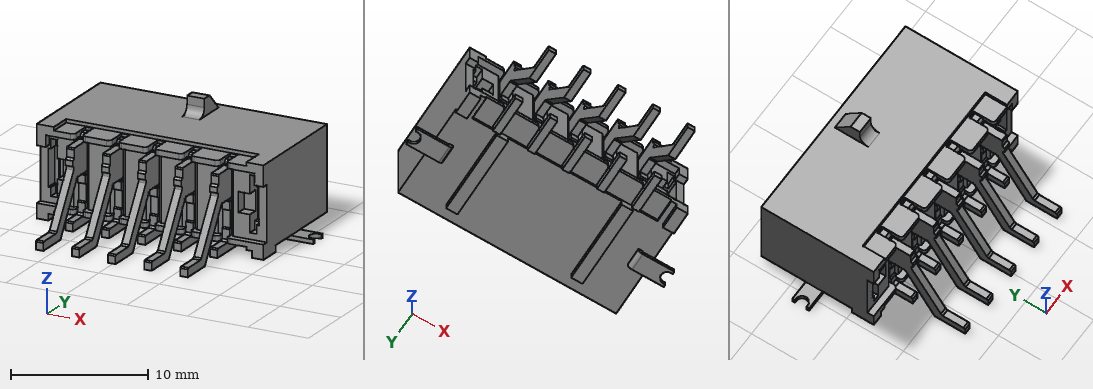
import cadquery as cq
import math


body_width = 18.75
body_depth = 9.92
body_top = 7.35
body_bottom = 0.53
half_width = body_width / 2

panel_y = 0.55
lower_lip_top = 1.2
upper_lip_bottom = 6.6
corner_lip_width = 0.75
corner_lip_bottom = 5.68

step_half_width = 7.95
step_depth = 1.92
upper_lip_top = 7.07
lower_lip_bottom = 0.77

corner_foot_width = 0.95
rail_inner_x = 4.88
rail_width = 0.97
rail_back_y = 8.93

pin_count = 5
pin_pitch = 2.98
pin_width = 0.62
pin_bottom = 0.05
foot_top = 0.75
foot_chamfer_length = 0.15
foot_chamfer_height = 0.09
slot_end_y = 1.8
slot_mouth_radius = 0.3
groove_depth = 0.3

latch_width = 1.44
latch_height = 1.4
latch_back_y = 9.3
latch_crest_back_y = 7.91
latch_crest_front_y = 7.1
latch_curve_radius = 0.73

tab_tip_x = 11.05
tab_y = 5.3
tab_width = 1.48
tab_thickness = 0.35
tab_inner_x = 7.95
tab_bend_radius = 0.35
tab_notch_radius = 0.5
tab_notch_depth = 0.69

tab_slot_inner_x = 7.95
narrow_slot = dict(outer_x=8.5, bottom=1.7, top=6.19, depth=0.77)
wide_slot = dict(outer_x=8.7, bottom=2.39, top=5.4, depth=1.0)
deep_slot = dict(outer_x=8.38, bottom=2.39, top=5.4, depth=1.22)
window_inner_x = 7.0
window_bottom = 3.12
window_top = 4.73
window_depth = 0.88


def box_between(x0, x1, y0, y1, z0, z1):
    """Box spanning the given limits on each axis."""
    return cq.Workplane("XY").box(x1 - x0, y1 - y0, z1 - z0, centered=False).translate((x0, y0, z0))


def extrude_across(profile, width, x=0.0):
    """Extrude a closed YZ profile along X by the given width, centred on x."""
    return profile.extrude(width / 2, both=True).translate((x, 0, 0))


def with_mirror(shape):
    """The shape together with its mirror image across the YZ plane."""
    return shape.union(shape.mirror("YZ"))


def make_housing():
    housing = box_between(-half_width, half_width, 0, body_depth, body_bottom, body_top)

    recess_half_width = half_width - corner_lip_width
    housing = housing.cut(
        box_between(-recess_half_width, recess_half_width, 0, panel_y, lower_lip_top, upper_lip_bottom)
    )
    housing = housing.cut(
        box_between(-half_width, half_width, 0, panel_y, lower_lip_top, corner_lip_bottom)
    )

    for bottom, top in ((upper_lip_top, body_top), (body_bottom, lower_lip_bottom)):
        housing = housing.cut(
            box_between(-step_half_width, step_half_width, 0, step_depth, bottom, top)
        )
    return housing


def make_standoffs():
    corner_foot = box_between(half_width - corner_foot_width, half_width, 0, step_depth, 0, body_bottom)
    rail = box_between(
        rail_inner_x, rail_inner_x + rail_width, step_depth, rail_back_y, 0, lower_lip_bottom
    )
    return with_mirror(corner_foot.union(rail))


def lip_slot(x, bottom, top):
    """Slot through a lip for one contact, with a rounded mouth at the front."""
    half_slot = pin_width / 2
    mouth = half_slot + slot_mouth_radius
    mid_x = mouth - slot_mouth_radius * math.sin(math.radians(45))
    mid_y = slot_mouth_radius * (1 - math.cos(math.radians(45)))
    return (
        cq.Workplane("XY")
        .moveTo(-mouth, 0)
        .threePointArc((-mid_x, mid_y), (-half_slot, slot_mouth_radius))
        .lineTo(-half_slot, slot_end_y)
        .lineTo(half_slot, slot_end_y)
        .lineTo(half_slot, slot_mouth_radius)
        .threePointArc((mid_x, mid_y), (mouth, 0))
        .close()
        .extrude(top - bottom)
        .translate((x, 0, bottom))
    )


def panel_groove(x):
    """Vertical groove in the rear panel with 45 degree sides, behind one contact."""
    half_floor = pin_width / 2
    half_mouth = half_floor + groove_depth
    floor_y = panel_y + groove_depth
    return (
        cq.Workplane("XY")
        .moveTo(-half_mouth, panel_y)
        .lineTo(-half_floor, floor_y)
        .lineTo(half_floor, floor_y)
        .lineTo(half_mouth, panel_y)
        .close()
        .extrude(upper_lip_bottom - lower_lip_top)
        .translate((x, 0, lower_lip_top))
    )


def upper_contact(x):
    """Contact that leaves high in the panel and slopes down to a solder foot."""
    shank_top = 6.48
    shank_bottom = 4.07
    shank_front_y = -1.15
    shank_chamfer_length = 0.05
    shank_chamfer_height = 0.13
    bump_top = 6.87
    bump_front_y = 1.15
    bump_chamfer = 0.09
    bump_knee_y = 1.02
    bump_knee_z = 6.75
    bump_toe_y = 0.82
    nose_front_y = -1.35
    nose_top = 5.7
    nose_bottom = 5.1
    nose_slope_height = 0.15
    leg_top_y = -1.22
    leg_top_z = 4.82
    leg_toe_y = -3.82
    leg_toe_z = 0.86
    leg_underside_y = -0.75
    leg_underside_z = 3.95
    leg_heel_y = -3.27
    bend_width = 0.18
    foot_end_y = -5.97
    profile = (
        cq.Workplane("YZ")
        .moveTo(slot_end_y, shank_bottom)
        .lineTo(slot_end_y, bump_top - bump_chamfer)
        .lineTo(slot_end_y - bump_chamfer, bump_top)
        .lineTo(bump_front_y, bump_top)
        .lineTo(bump_knee_y, bump_knee_z)
        .lineTo(bump_toe_y, shank_top)
        .lineTo(shank_front_y + shank_chamfer_length, shank_top)
        .lineTo(shank_front_y, shank_top - shank_chamfer_height)
        .lineTo(shank_front_y, nose_top)
        .lineTo(nose_front_y, nose_top - nose_slope_height)
        .lineTo(nose_front_y, nose_bottom)
        .threePointArc((leg_top_y, leg_top_z + bend_width), (leg_top_y, leg_top_z))
        .lineTo(leg_toe_y, leg_toe_z)
        .lineTo(leg_toe_y - bend_width, foot_top)
        .lineTo(foot_end_y + foot_chamfer_length, foot_top)
        .lineTo(foot_end_y, foot_top - foot_chamfer_height)
        .lineTo(foot_end_y, pin_bottom)
        .lineTo(leg_heel_y, pin_bottom)
        .lineTo(leg_underside_y, leg_underside_z)
        .lineTo(leg_underside_y + bend_width, shank_bottom)
        .close()
    )
    return extrude_across(profile, pin_width, x)


def lower_contact(x):
    """Contact that stands in the groove and leaves forward as a short solder foot."""
    face_y = 0.69
    base_top = 1.65
    head_bottom = 3.15
    head_top = 3.82
    head_slope_height = 0.07
    base_slope_height = 0.09
    heel_y = 0.27
    heel_top = 0.86
    foot_end_y = -1.35
    profile = (
        cq.Workplane("YZ")
        .moveTo(slot_end_y, pin_bottom)
        .lineTo(foot_end_y, pin_bottom)
        .lineTo(foot_end_y, foot_top - foot_chamfer_height)
        .lineTo(foot_end_y + foot_chamfer_length, foot_top)
        .lineTo(heel_y, foot_top)
        .lineTo(panel_y, heel_top)
        .lineTo(panel_y, base_top)
        .lineTo(face_y, base_top + base_slope_height)
        .lineTo(face_y, head_bottom - head_slope_height)
        .lineTo(panel_y, head_bottom)
        .lineTo(panel_y, head_top)
        .lineTo(slot_end_y, head_top)
        .close()
    )
    return extrude_across(profile, pin_width, x)


def make_latch():
    """Latch with a ramp at the back, a flat crest and a concave front blending into the housing top."""
    crest_top = body_top + latch_height
    curve_end_y = latch_crest_front_y - latch_curve_radius
    curve_top = body_top + latch_curve_radius
    diagonal = latch_curve_radius * math.sin(math.radians(45))
    profile = (
        cq.Workplane("YZ")
        .moveTo(latch_back_y, body_top)
        .lineTo(latch_crest_back_y, crest_top)
        .lineTo(latch_crest_front_y, crest_top)
        .lineTo(latch_crest_front_y, curve_top)
        .threePointArc((curve_end_y + diagonal, curve_top - diagonal), (curve_end_y, body_top))
        .close()
    )
    return extrude_across(profile, latch_width)


def make_solder_tab():
    """Flat tab with a round notch in its tip, bent up into the housing at its inner end."""
    y0 = tab_y - tab_width / 2
    y1 = tab_y + tab_width / 2
    blade_top = pin_bottom + tab_thickness
    blade = box_between(tab_inner_x, tab_tip_x, y0, y1, pin_bottom, blade_top)
    riser = box_between(tab_inner_x, tab_inner_x + tab_thickness, y0, y1, pin_bottom, lower_lip_bottom)
    tab = blade.union(riser).edges("|Y and <X and <Z").fillet(tab_bend_radius)

    notch_centre_x = tab_tip_x - tab_notch_depth + tab_notch_radius
    notch = cq.Workplane("XY").center(notch_centre_x, tab_y).circle(tab_notch_radius).extrude(blade_top)
    notch_mouth = box_between(
        notch_centre_x, tab_tip_x, tab_y - tab_notch_radius, tab_y + tab_notch_radius, 0, blade_top
    )
    return tab.cut(notch).cut(notch_mouth)


def tab_openings():
    """Stepped slot and side window at the +X end of the rear panel."""
    opening = box_between(
        window_inner_x, tab_slot_inner_x, panel_y, panel_y + window_depth, window_bottom, window_top
    )
    for slot in (narrow_slot, wide_slot, deep_slot):
        opening = opening.union(
            box_between(
                tab_slot_inner_x,
                slot["outer_x"],
                panel_y,
                panel_y + slot["depth"],
                slot["bottom"],
                slot["top"],
            )
        )
    return opening


pin_positions = [(i - (pin_count - 1) / 2) * pin_pitch for i in range(pin_count)]

result = make_housing().union(make_standoffs())
result = result.cut(with_mirror(tab_openings()))
result = result.union(make_latch())
result = result.union(with_mirror(make_solder_tab()))

for pin_x in pin_positions:
    result = result.cut(lip_slot(pin_x, upper_lip_bottom, upper_lip_top))
    result = result.cut(lip_slot(pin_x, lower_lip_bottom, lower_lip_top))
    result = result.cut(panel_groove(pin_x))
    result = result.union(upper_contact(pin_x)).union(lower_contact(pin_x))